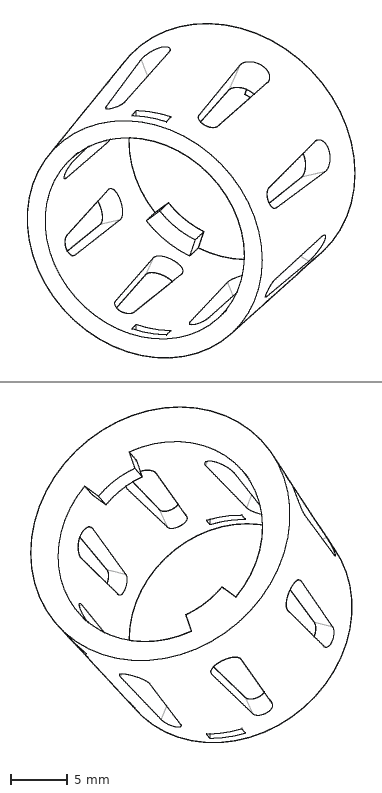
import cadquery as cq
import math

length = 18.85
rear_radius = 12.25
front_radius = 11.4
front_drop = rear_radius - front_radius

bore_radius = 9.65
bore_z = -0.75

slot_count = 8
slot_axis_z = -0.93
slot_front_radius = 0.98
slot_rear_radius = 1.47
slot_front_y = 3.95
slot_rear_y = 13.43

window_width = 3.35
window_depth = 0.98
window_front_y = 1.0

tab_inner_radius = 7.9
tab_middle_angle = 57.3
tab_span = 30.0
tab_length = 1.95
tab_overlap = 0.5

cut_reach = 2 * rear_radius


def make_sleeve():
    """Loft between the two offset end circles, then bore it straight through."""
    outer = (
        cq.Workplane("XZ")
        .center(0, -front_drop)
        .circle(front_radius)
        .workplane(offset=-length)
        .center(0, front_drop)
        .circle(rear_radius)
        .loft(ruled=True)
    )
    bore = cq.Workplane("XZ").center(0, bore_z).circle(bore_radius).extrude(-length)
    return outer.cut(bore)


def make_slot(angle):
    """Tapered round-ended cutter pointing outward from the slot axis."""
    cutter = (
        cq.Workplane("XY")
        .moveTo(-slot_front_radius, slot_front_y)
        .threePointArc((0, slot_front_y - slot_front_radius), (slot_front_radius, slot_front_y))
        .lineTo(slot_rear_radius, slot_rear_y)
        .threePointArc((0, slot_rear_y + slot_rear_radius), (-slot_rear_radius, slot_rear_y))
        .close()
        .extrude(cut_reach)
    )
    return cutter.rotate((0, 0, 0), (0, 1, 0), angle).translate((0, 0, slot_axis_z))


def make_window():
    """Rectangular cutter running through both walls."""
    return cq.Workplane("XY").box(window_width, window_depth, 2 * cut_reach).translate(
        (0, window_front_y + window_depth / 2, 0)
    )


def make_tab(middle_angle):
    """Ring sector standing inward from the bore wall, flush with the rear end."""
    root_radius = bore_radius + tab_overlap

    def point(radius, offset):
        angle = math.radians(middle_angle + offset)
        return (radius * math.cos(angle), bore_z + radius * math.sin(angle))

    half_span = tab_span / 2
    return (
        cq.Workplane("XZ", origin=(0, length, 0))
        .moveTo(*point(tab_inner_radius, -half_span))
        .threePointArc(point(tab_inner_radius, 0), point(tab_inner_radius, half_span))
        .lineTo(*point(root_radius, half_span))
        .threePointArc(point(root_radius, 0), point(root_radius, -half_span))
        .close()
        .extrude(tab_length)
    )


result = make_sleeve()

slot_pitch = 360 / slot_count
for index in range(slot_count):
    result = result.cut(make_slot((index + 0.5) * slot_pitch))

result = result.cut(make_window())

for half_turn in (0, 180):
    result = result.union(make_tab(tab_middle_angle + half_turn))